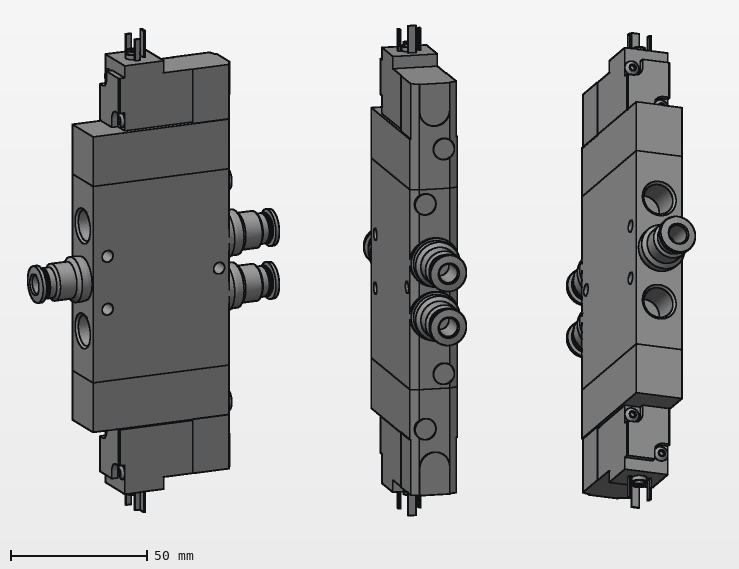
import cadquery as cq

VALVE_WIDTH = 18.0
FRONT_Y = -28.5
BACK_Y = 27.8
BACK_CHAMFER_X = 3.3
BACK_CHAMFER_Y = 1.3
CENTRE_TOP_Z = 37.5
CAP_TOP_Z = 56.5

PORT_PITCH = 20.0
PORT_DIA = 11.5
PORT_MOUTH_DIA = 13.2
PORT_MOUTH_DEPTH = 1.0
PORT_DEPTH = 14.7
REAR_PORT_Z = 10.1
BOSS_DIA = 18.2
BOSS_FACE_Y = 28.7
MOUNT_HOLE_DIA = 4.5
REAR_MOUNT_Y = 22.5
FRONT_MOUNT_Y = -22.6
FRONT_MOUNT_Z = 10.1

PAD_FACE_Y = 28.3
PAD_ROOT_Y = 25.8
SCREW_PAD_DIA = 8.0
SCREW_PAD_X = 3.5
CENTRE_PAD_Z = 32.0
CAP_PAD_Z = 52.5
LABEL_PAD_WIDTH = 11.5
LABEL_PAD_BOTTOM_Z = 61.3

PILOT_WIDTH = 17.3
PILOT_FRONT_Y = 12.0
PILOT_TOP_Z = 77.3
COIL_WIDTH = 17.0
COIL_FRONT_Y = -15.5
COIL_GAP = 0.5
HEAD_BACK_Y = 0.4
HEAD_TOP_Z = 81.9
COVER_WIDTH = 16.0
SHOULDER_FRONT_Y = -17.3
COVER_FRONT_Y = -17.8
COIL_BOTTOM_Z = CAP_TOP_Z + COIL_GAP

NOTCH_RADIUS = 3.3
SCREW_HEAD_DIA = 5.5
SCREW_TOP_DIA = 2.5
SCREW_SOCKET_DIA = 2.0
SCREW_SOCKET_DEPTH = 0.7
SCREW_HEAD_HEIGHT = 1.0
UPPER_SCREW_X = -5.7
UPPER_SCREW_Z = 74.2
LOWER_SCREW_X = 5.7
LOWER_SCREW_Z = 60.5

STUD_Y = -8.3
STUD_BASE_DIA = 5.5
STUD_NECK_DIA = 3.9
STUD_RIM_DIA = 4.5
STUD_BORE_DIA = 2.0
STUD_BASE_HEIGHT = 1.7
STUD_NECK_HEIGHT = 1.1
STUD_RIM_HEIGHT = 0.2
BLADE_THICKNESS = 0.7
SIDE_BLADE_X = 3.9
SIDE_BLADE_WIDTH = 2.0
SIDE_BLADE_TOP_Z = 90.0
EARTH_BLADE_Y = -4.2
EARTH_BLADE_WIDTH = 3.0
EARTH_BLADE_TOP_Z = 92.0

FITTING_SEAT_DIA = 16.4
FITTING_FLANGE_DIA = 17.0
FITTING_BARREL_DIA = 13.8
FITTING_NOSE_DIA = 11.5
FITTING_GROOVE_DIA = 10.9
FITTING_NECK_DIA = 9.4
COLLAR_DIA = 13.8
COLLAR_TIP_DIA = 13.6
TUBE_DIA = 7.0
TUBE_MOUTH_DIA = 8.0
FLANGE_START = 1.7
FLANGE_END = 4.0
BARREL_START = 5.5
BARREL_END = 12.1
NOSE_START = 13.0
GROOVE_START = 15.6
GROOVE_END = 16.2
NOSE_END = 16.7
COLLAR_START = 17.7
COLLAR_TAPER_START = 18.8
COLLAR_RIM_DROP = 0.4
FITTING_LENGTH = 19.5
TUBE_MOUTH_DEPTH = 0.7
TUBE_DEPTH = 12.9


def block(width, y_front, y_back, z_bottom, z_top, x_centre=0.0):
    """Box of a given X width between two Y planes and two Z planes."""
    box = cq.Workplane("XY").box(width, y_back - y_front, z_top - z_bottom, centered=(True, False, False))
    return box.translate((x_centre, y_front, z_bottom))


def cylinder_y(diameter, x, z, y_start, y_end):
    """Cylinder along Y."""
    solid = cq.Solid.makeCylinder(
        diameter / 2, y_end - y_start, cq.Vector(x, y_start, z), cq.Vector(0, 1, 0)
    )
    return cq.Workplane(obj=solid)


def cylinder_z(diameter, y, z_bottom, z_top):
    """Vertical cylinder on the X = 0 plane."""
    return cq.Workplane("XY", origin=(0, y, z_bottom)).circle(diameter / 2).extrude(z_top - z_bottom)


def valve_section(z_bottom, z_top):
    """Length of the valve stack: a rectangle with bevelled back corners."""
    half = VALVE_WIDTH / 2
    bevel_x = half - BACK_CHAMFER_X
    bevel_y = BACK_Y - BACK_CHAMFER_Y
    outline = [
        (-half, FRONT_Y), (half, FRONT_Y), (half, bevel_y),
        (bevel_x, BACK_Y), (-bevel_x, BACK_Y), (-half, bevel_y),
    ]
    return cq.Workplane("XY").workplane(offset=z_bottom).polyline(outline).close().extrude(z_top - z_bottom)


def end_for_end(shape):
    """Turn a shape half a turn about the Y axis."""
    return shape.rotate((0, 0, 0), (0, 1, 0), 180)


def screw_pad(x, z):
    return cylinder_y(SCREW_PAD_DIA, x, z, PAD_ROOT_Y, PAD_FACE_Y)


def front_port(z):
    """Open port in the front face with a conical mouth."""
    half_plane = [
        (0, FRONT_Y), (PORT_MOUTH_DIA / 2, FRONT_Y),
        (PORT_DIA / 2, FRONT_Y + PORT_MOUTH_DEPTH),
        (PORT_DIA / 2, FRONT_Y + PORT_DEPTH), (0, FRONT_Y + PORT_DEPTH),
    ]
    port = cq.Workplane("XY").polyline(half_plane).close().revolve(360, (0, 0, 0), (0, 1, 0))
    return port.translate((0, 0, z))


def make_centre_body():
    body = valve_section(-CENTRE_TOP_Z, CENTRE_TOP_Z)
    width_limit = block(VALVE_WIDTH, FRONT_Y, BOSS_FACE_Y, -CENTRE_TOP_Z, CENTRE_TOP_Z)
    for z in (-REAR_PORT_Z, REAR_PORT_Z):
        boss = cylinder_y(BOSS_DIA, 0, z, PAD_ROOT_Y, BOSS_FACE_Y)
        body = body.union(boss.intersect(width_limit))
    pad = screw_pad(SCREW_PAD_X, CENTRE_PAD_Z)
    body = body.union(pad).union(end_for_end(pad))
    for z in (-PORT_PITCH, PORT_PITCH):
        body = body.cut(front_port(z))
    mounts = [(REAR_MOUNT_Y, 0), (FRONT_MOUNT_Y, -FRONT_MOUNT_Z), (FRONT_MOUNT_Y, FRONT_MOUNT_Z)]
    holes = cq.Workplane("YZ").pushPoints(mounts).circle(MOUNT_HOLE_DIA / 2).extrude(VALVE_WIDTH, both=True)
    return body.cut(holes)


def make_pilot():
    """Pilot block at the back of an end unit, with its rounded label pad."""
    limit = block(PILOT_WIDTH, PILOT_FRONT_Y, BACK_Y, CAP_TOP_Z, PILOT_TOP_Z)
    pilot = valve_section(CAP_TOP_Z, PILOT_TOP_Z).intersect(limit)
    arc_centre_z = LABEL_PAD_BOTTOM_Z + LABEL_PAD_WIDTH / 2
    pad = block(LABEL_PAD_WIDTH, PAD_ROOT_Y, PAD_FACE_Y, arc_centre_z, PILOT_TOP_Z)
    pad = pad.union(cylinder_y(LABEL_PAD_WIDTH, 0, arc_centre_z, PAD_ROOT_Y, PAD_FACE_Y))
    return pilot.union(pad)


def screw_notch(x, z, outward):
    """Round-ended cut in the cover, open to the side (away from X = 0) and to +Z or -Z."""
    reach = 2 * COIL_WIDTH
    side = 1 if x > 0 else -1
    notch = cylinder_y(2 * NOTCH_RADIUS, x, z, COVER_FRONT_Y, COIL_FRONT_Y)
    inner_x = x - side * NOTCH_RADIUS
    z_end = z + outward * reach
    open_end = block(
        reach, COVER_FRONT_Y, COIL_FRONT_Y, min(z, z_end), max(z, z_end), inner_x + side * reach / 2
    )
    open_side = block(
        reach, COVER_FRONT_Y, COIL_FRONT_Y, z - NOTCH_RADIUS, z + NOTCH_RADIUS, x + side * reach / 2
    )
    return notch.union(open_end).union(open_side)


def coil_screw(x, z):
    """Socketed conical screw head standing on the coil front."""
    head = cq.Solid.makeCone(
        SCREW_HEAD_DIA / 2, SCREW_TOP_DIA / 2, SCREW_HEAD_HEIGHT,
        cq.Vector(x, COIL_FRONT_Y, z), cq.Vector(0, -1, 0),
    )
    top_y = COIL_FRONT_Y - SCREW_HEAD_HEIGHT
    socket = cylinder_y(SCREW_SOCKET_DIA, x, z, top_y, top_y + SCREW_SOCKET_DEPTH)
    return cq.Workplane(obj=head).cut(socket)


def make_coil():
    """Coil block with its raised head, stepped front cover and two screws."""
    coil = block(COIL_WIDTH, COIL_FRONT_Y, PILOT_FRONT_Y, COIL_BOTTOM_Z, PILOT_TOP_Z)
    coil = coil.union(block(COIL_WIDTH, COIL_FRONT_Y, HEAD_BACK_Y, COIL_BOTTOM_Z, HEAD_TOP_Z))
    cover = block(COIL_WIDTH, SHOULDER_FRONT_Y, COIL_FRONT_Y, COIL_BOTTOM_Z, PILOT_TOP_Z)
    cover = cover.union(block(COVER_WIDTH, COVER_FRONT_Y, SHOULDER_FRONT_Y, COIL_BOTTOM_Z, PILOT_TOP_Z))
    cover = cover.cut(screw_notch(UPPER_SCREW_X, UPPER_SCREW_Z, 1))
    cover = cover.cut(screw_notch(LOWER_SCREW_X, LOWER_SCREW_Z, -1))
    width_limit = block(COIL_WIDTH, COVER_FRONT_Y, COIL_FRONT_Y, COIL_BOTTOM_Z, HEAD_TOP_Z)
    coil = coil.union(cover)
    for x, z in ((UPPER_SCREW_X, UPPER_SCREW_Z), (LOWER_SCREW_X, LOWER_SCREW_Z)):
        coil = coil.union(coil_screw(x, z).intersect(width_limit))
    return coil


def make_contacts():
    """Hollow stud, two side blades and the earth blade on top of the coil head."""
    base_top = HEAD_TOP_Z + STUD_BASE_HEIGHT
    neck_top = base_top + STUD_NECK_HEIGHT
    rim_top = neck_top + STUD_RIM_HEIGHT
    contacts = cylinder_z(STUD_BASE_DIA, STUD_Y, HEAD_TOP_Z, base_top)
    contacts = contacts.union(cylinder_z(STUD_NECK_DIA, STUD_Y, base_top, neck_top))
    contacts = contacts.union(cylinder_z(STUD_RIM_DIA, STUD_Y, neck_top, rim_top))
    contacts = contacts.cut(cylinder_z(STUD_BORE_DIA, STUD_Y, HEAD_TOP_Z, rim_top))
    side_front = STUD_Y - SIDE_BLADE_WIDTH / 2
    side_back = STUD_Y + SIDE_BLADE_WIDTH / 2
    for x in (-SIDE_BLADE_X, SIDE_BLADE_X):
        contacts = contacts.union(
            block(BLADE_THICKNESS, side_front, side_back, HEAD_TOP_Z, SIDE_BLADE_TOP_Z, x)
        )
    earth_front = EARTH_BLADE_Y - BLADE_THICKNESS / 2
    earth_back = EARTH_BLADE_Y + BLADE_THICKNESS / 2
    return contacts.union(block(EARTH_BLADE_WIDTH, earth_front, earth_back, HEAD_TOP_Z, EARTH_BLADE_TOP_Z))


def make_end_unit():
    """Upper end of the valve: cap, pilot, coil and contacts in one piece."""
    unit = valve_section(CENTRE_TOP_Z, CAP_TOP_Z)
    unit = unit.union(screw_pad(-SCREW_PAD_X, CAP_PAD_Z))
    return unit.union(make_pilot()).union(make_coil()).union(make_contacts())


def make_fitting(seat_y, direction, z):
    """Push-in tube fitting on a seat plane, pointing along +Y or -Y."""
    half_plane = [
        (0, 0),
        (FITTING_SEAT_DIA / 2, 0),
        (FITTING_FLANGE_DIA / 2, FLANGE_START),
        (FITTING_FLANGE_DIA / 2, FLANGE_END),
        (FITTING_BARREL_DIA / 2, BARREL_START),
        (FITTING_BARREL_DIA / 2, BARREL_END),
        (FITTING_NOSE_DIA / 2, NOSE_START),
        (FITTING_NOSE_DIA / 2, GROOVE_START),
        (FITTING_GROOVE_DIA / 2, GROOVE_START),
        (FITTING_GROOVE_DIA / 2, GROOVE_END),
        (FITTING_NOSE_DIA / 2, GROOVE_END),
        (FITTING_NOSE_DIA / 2, NOSE_END),
        (FITTING_NECK_DIA / 2, NOSE_END),
        (FITTING_NECK_DIA / 2, COLLAR_START),
        (COLLAR_DIA / 2, COLLAR_START),
        (COLLAR_DIA / 2, COLLAR_TAPER_START),
        (COLLAR_TIP_DIA / 2, FITTING_LENGTH - COLLAR_RIM_DROP),
        (TUBE_MOUTH_DIA / 2, FITTING_LENGTH),
        (TUBE_DIA / 2, FITTING_LENGTH - TUBE_MOUTH_DEPTH),
        (TUBE_DIA / 2, FITTING_LENGTH - TUBE_DEPTH),
        (0, FITTING_LENGTH - TUBE_DEPTH),
    ]
    fitting = cq.Workplane("XY").polyline(half_plane).close().revolve(360, (0, 0, 0), (0, 1, 0))
    if direction < 0:
        fitting = fitting.rotate((0, 0, 0), (0, 0, 1), 180)
    return fitting.translate((0, seat_y, z))


centre_body = make_centre_body()
upper_end_unit = make_end_unit()
end_units = [upper_end_unit, end_for_end(upper_end_unit)]

fitting_places = [
    (FRONT_Y, -1, 0),
    (BOSS_FACE_Y, 1, -REAR_PORT_Z),
    (BOSS_FACE_Y, 1, REAR_PORT_Z),
]
fittings = [make_fitting(*place) for place in fitting_places]

result = cq.Compound.makeCompound([centre_body.val()] + [body.val() for body in end_units + fittings])